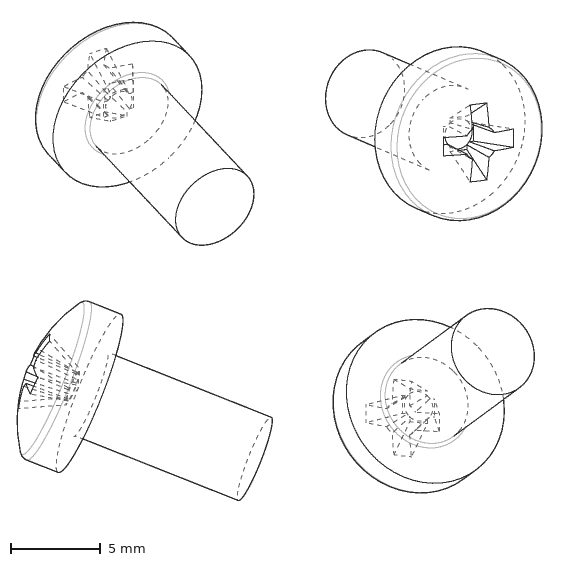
import cadquery as cq
import math

total_length = 13.63
shank_length = 10.0
shank_radius = 5.0 / 2
head_radius = 9.5 / 2
neck_fillet = 0.2

dome_radius = 8.04
rim_fillet = 0.44

arm_width = 1.05
arm_reach_top = 2.21
arm_reach_floor = 0.95
arm_floor_x = 2.62
core_radius_top = 1.01
core_radius_floor = 0.86
core_tip_angle = 140.0
cut_clearance = 0.14


def dome_x(radius):
    """X of the dome surface, whose highest uncut points lie on the core edge."""
    sphere_center_x = math.sqrt(dome_radius**2 - core_radius_top**2)
    return sphere_center_x - math.sqrt(dome_radius**2 - radius**2)


def make_body():
    """Revolve the domed head and the shank around X."""
    head_back_x = total_length - shank_length
    sphere_center_x = dome_x(0) + dome_radius
    rim_center_radius = head_radius - rim_fillet
    center_distance = dome_radius - rim_fillet
    rim_center_x = sphere_center_x - math.sqrt(center_distance**2 - rim_center_radius**2)
    dome_angle = math.asin(rim_center_radius / center_distance)
    rim_mid_angle = (dome_angle + math.pi / 2) / 2
    dome_edge = dome_radius * math.sin(dome_angle)
    dome_mid = dome_radius * math.sin(dome_angle / 2)
    rim_mid = (
        rim_center_x - rim_fillet * math.cos(rim_mid_angle),
        rim_center_radius + rim_fillet * math.sin(rim_mid_angle),
    )
    neck_mid_offset = neck_fillet * (1 - math.sqrt(0.5))
    return (
        cq.Workplane("XY")
        .moveTo(dome_x(0), 0)
        .threePointArc((dome_x(dome_mid), dome_mid), (dome_x(dome_edge), dome_edge))
        .threePointArc(rim_mid, (rim_center_x, head_radius))
        .lineTo(head_back_x, head_radius)
        .lineTo(head_back_x, shank_radius + neck_fillet)
        .threePointArc(
            (head_back_x + neck_mid_offset, shank_radius + neck_mid_offset),
            (head_back_x + neck_fillet, shank_radius),
        )
        .lineTo(total_length, shank_radius)
        .lineTo(total_length, 0)
        .close()
        .revolve(360, (0, 0, 0), (1, 0, 0))
    )


def make_recess():
    """Two crossed tapered slots around a conical core with a pointed bottom."""
    tip_x = dome_x(arm_reach_top)
    open_x = dome_x(0) - cut_clearance
    slope = (arm_reach_top - arm_reach_floor) / (arm_floor_x - tip_x)
    open_reach = arm_reach_top + slope * (tip_x - open_x)
    slot = (
        cq.Workplane("XY")
        .polyline([
            (open_x, -open_reach),
            (open_x, open_reach),
            (arm_floor_x, arm_reach_floor),
            (arm_floor_x, -arm_reach_floor),
        ])
        .close()
        .extrude(arm_width / 2, both=True)
    )
    core_slope = (core_radius_top - core_radius_floor) / arm_floor_x
    core_open_radius = core_radius_top - core_slope * open_x
    core_tip_x = arm_floor_x + core_radius_floor / math.tan(math.radians(core_tip_angle / 2))
    core = (
        cq.Workplane("XY")
        .polyline([
            (open_x, 0),
            (open_x, core_open_radius),
            (arm_floor_x, core_radius_floor),
            (core_tip_x, 0),
        ])
        .close()
        .revolve(360, (0, 0, 0), (1, 0, 0))
    )
    crossing_slot = slot.rotate((0, 0, 0), (1, 0, 0), 90)
    return slot.union(crossing_slot).union(core)


result = make_body().cut(make_recess())